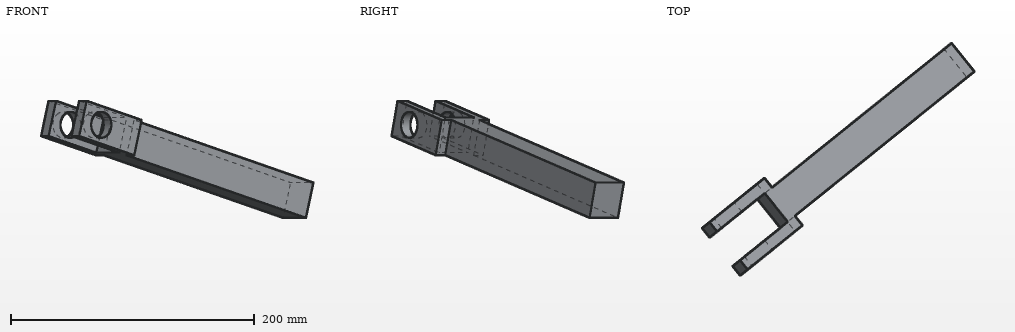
import cadquery as cq

HEADING = 38.817
SLOPE = 15.21

SECTION = 30.0
CHEEK_THICKNESS = 10.0
FORK_WIDTH = SECTION + 2 * CHEEK_THICKNESS
FORK_LENGTH = 60.0
SLOT_DEPTH = 52.0
TOTAL_LENGTH = 255.77
PIN_DIAMETER = 21.3
PIN_FROM_TIP = 20.0


def block(start, end, width):
    """Full-height block between two stations along the bar, centred across it."""
    length = end - start
    return cq.Workplane("XY").box(length, width, SECTION).translate(((start + end) / 2, 0, 0))


def pin_hole():
    """Cylinder along y that pierces both cheeks."""
    return (
        cq.Workplane("XZ")
        .center(PIN_FROM_TIP, 0)
        .circle(PIN_DIAMETER / 2)
        .extrude(FORK_WIDTH / 2, both=True)
    )


def link():
    """Square bar ending in a fork whose tips lie at x = 0."""
    fork = block(0, FORK_LENGTH, FORK_WIDTH)
    bar = block(FORK_LENGTH, TOTAL_LENGTH, SECTION)
    slot = block(0, SLOT_DEPTH, SECTION)
    return fork.union(bar).cut(slot).cut(pin_hole())


result = link().rotate((0, 0, 0), (0, 1, 0), SLOPE).rotate((0, 0, 0), (0, 0, 1), HEADING)